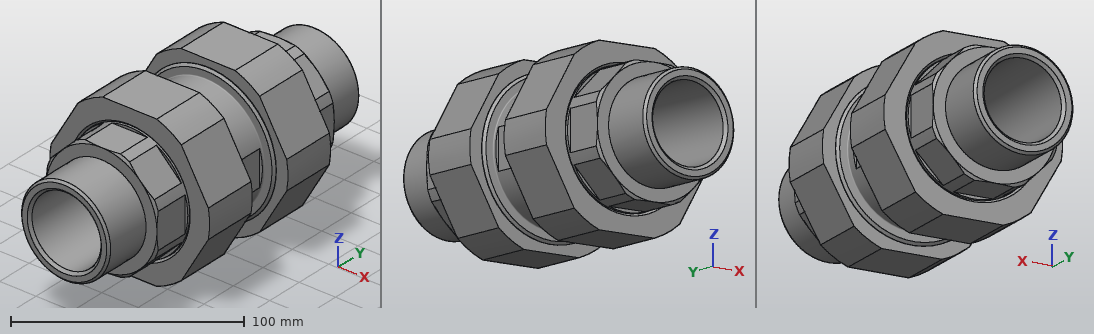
import cadquery as cq
import math


total_length = 170.9
tail_end = total_length / 2
octagon_end = 60.2
nut_outer_face = 41.1
octagon_start = nut_outer_face
nut_inner_face = 12.1
nut_shoulder = 33.0
tail_flange_face = 24.0
collar_face = 11.0

barrel_diameter = 64.0
barrel_fillet = 0.5
thread_diameter = 74.9
thread_lead_in_diameter = 72.24
thread_chamfer = (thread_diameter - thread_lead_in_diameter) / 2
flat_width_across = 61.0
flat_length = 16.0
flat_center_y = 1.55

nut_across_flats = 82.8
nut_across_corners = 88.0
nut_opening_diameter = 64.39
nut_opening_chamfer = 1.1

tail_flange_diameter = 72.0
octagon_across_flats = flat_width_across
tail_body_diameter = 64.0
octagon_chamfer_angle = 30.0
pipe_diameter = 49.0
pipe_chamfer = 1.2
bore_diameter = 37.97
bore_chamfer = 1.45


def cylinder(diameter, start, end):
    """Solid cylinder on the Y axis between two Y stations."""
    return cq.Workplane("XZ", origin=(0, start, 0)).circle(diameter / 2).extrude(start - end)


def prism(sides, across_flats, start, end):
    """Regular prism on the Y axis with one flat facing +Z."""
    circumscribed = across_flats / math.cos(math.pi / sides)
    bar = cq.Workplane("XZ", origin=(0, start, 0)).polygon(sides, circumscribed).extrude(start - end)
    turn_to_flat = (90 - 180 / sides) % (360 / sides)
    return bar.rotate((0, 0, 0), (0, 1, 0), turn_to_flat)


def revolved(points):
    """Solid turned about the Y axis from (radius, y) points."""
    return cq.Workplane("XY").polyline(points).close().revolve(360, (0, 0, 0), (0, 1, 0))


def chamfer_ring(inner_diameter, end, size):
    """Cutter that bevels the mouth of a bore whose end face is at y = end."""
    radius = inner_diameter / 2
    return revolved([(0, end), (radius + size, end), (radius, end - size), (0, end - size)])


def make_body():
    """Barrel with a filleted root running into a threaded collar at each end."""
    barrel_radius = barrel_diameter / 2
    root_radius = barrel_radius + barrel_fillet
    root_y = collar_face - barrel_fillet
    lead_in_radius = thread_lead_in_diameter / 2
    thread_radius = thread_diameter / 2
    thread_start = collar_face + thread_chamfer
    body = (
        cq.Workplane("XY")
        .moveTo(0, -tail_flange_face)
        .lineTo(thread_radius, -tail_flange_face)
        .lineTo(thread_radius, -thread_start)
        .lineTo(lead_in_radius, -collar_face)
        .lineTo(root_radius, -collar_face)
        .radiusArc((barrel_radius, -root_y), barrel_fillet)
        .lineTo(barrel_radius, root_y)
        .radiusArc((root_radius, collar_face), barrel_fillet)
        .lineTo(lead_in_radius, collar_face)
        .lineTo(thread_radius, thread_start)
        .lineTo(thread_radius, tail_flange_face)
        .lineTo(0, tail_flange_face)
        .close()
        .revolve(360, (0, 0, 0), (0, 1, 0))
    )

    flat_depth = (barrel_diameter - flat_width_across) / 2
    for side in (-1, 1):
        x_center = side * (flat_width_across + flat_depth) / 2
        cutter = cq.Workplane("XY").box(flat_depth, flat_length, barrel_diameter)
        body = body.cut(cutter.translate((x_center, flat_center_y, 0)))
    return body


def make_nut():
    """Union nut on the +Y side: rounded hexagon, thread bore and a smaller opening."""
    nut = prism(6, nut_across_flats, nut_inner_face, nut_outer_face)
    nut = nut.intersect(cylinder(nut_across_corners, nut_inner_face, nut_outer_face))
    nut = nut.cut(cylinder(thread_diameter, nut_inner_face, nut_shoulder))
    nut = nut.cut(cylinder(nut_opening_diameter, nut_shoulder, nut_outer_face))
    return nut.cut(chamfer_ring(nut_opening_diameter, nut_outer_face, nut_opening_chamfer))


def make_tailpiece():
    """Tailpiece on the +Y side: retained flange, round neck, octagon and pipe end, bored through."""
    flange = cylinder(tail_flange_diameter, tail_flange_face, nut_shoulder)
    neck = cylinder(tail_body_diameter, nut_shoulder, octagon_start)

    corner_radius = tail_body_diameter / 2
    end_radius = octagon_across_flats / 2
    bevel = (corner_radius - end_radius) * math.tan(math.radians(octagon_chamfer_angle))
    octagon = revolved([
        (0, octagon_start),
        (corner_radius, octagon_start),
        (corner_radius, octagon_end - bevel),
        (end_radius, octagon_end),
        (0, octagon_end),
    ])
    octagon = octagon.intersect(prism(8, octagon_across_flats, octagon_start, octagon_end))

    pipe = cylinder(pipe_diameter, octagon_end, tail_end).faces(">Y").chamfer(pipe_chamfer)
    tailpiece = flange.union(neck).union(octagon).union(pipe)
    tailpiece = tailpiece.cut(cylinder(bore_diameter, tail_flange_face, tail_end))
    return tailpiece.cut(chamfer_ring(bore_diameter, tail_end, bore_chamfer))


centre_body = make_body()
solids = [centre_body.solids().val()]

for make_part in (make_nut, make_tailpiece):
    part = make_part()
    solids.append(part.solids().val())
    solids.append(part.mirror("XZ").solids().val())

result = cq.Compound.makeCompound(solids)